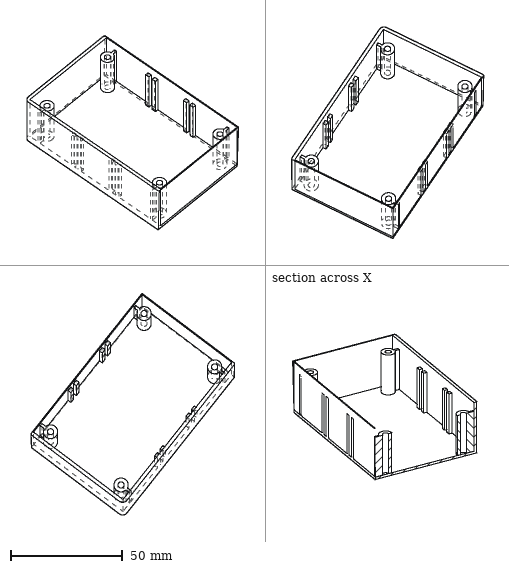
import cadquery as cq
import math

full_length = 83.0
full_width = 54.0
height = 26.11
corner_radius = 2.4
wall = 1.65
floor = 1.5

trimmed_length = 81.81
trimmed_width = 52.81
draft_angle = 1.0
draft_inset = height * math.tan(math.radians(draft_angle))

post_spacing_x = 68.6
post_spacing_y = 40.0
post_diameter = 6.4
screw_hole_diameter = 2.77
web_thickness = 1.25

rib_width = 2.0
rib_depth = 1.6
rib_gap = 2.0
rib_pair_spacing = 23.0

post_and_rib_top = 21.7

center_x = full_length / 2
center_y = full_width / 2
inner_length = full_length - 2 * wall
inner_width = full_width - 2 * wall
post_and_rib_height = post_and_rib_top - floor
rib_pitch = rib_width + rib_gap


def block(length, width, block_height, x, y, z):
    """A block centred on x and y that stands on height z."""
    return (
        cq.Workplane("XY", origin=(x, y, z))
        .rect(length, width)
        .extrude(block_height)
    )


def round_bar(diameter, x, y):
    """A round bar from the floor up to the top of the posts."""
    return (
        cq.Workplane("XY", origin=(x, y, floor))
        .circle(diameter / 2)
        .extrude(post_and_rib_height)
    )


def trimming_prism(plane, far_side, depth):
    """A prism that keeps everything up to a wall leaning inward toward the bottom."""
    return (
        cq.Workplane(plane)
        .moveTo(0, 0)
        .lineTo(far_side - draft_inset, 0)
        .lineTo(far_side, height)
        .lineTo(0, height)
        .close()
        .extrude(depth)
    )


def make_box():
    box = block(full_length, full_width, height, center_x, center_y, 0)
    box = box.edges("|Z").fillet(corner_radius)
    box = box.intersect(trimming_prism("XZ", trimmed_length, -full_width))
    box = box.intersect(trimming_prism("YZ", trimmed_width, full_length))
    box = box.cut(block(inner_length, inner_width, height, center_x, center_y, floor))
    rib_offset_y = (inner_width - rib_depth) / 2
    for wall_side in (-1, 1):
        for pair_side in (-1, 1):
            for rib_side in (-1, 1):
                x = center_x + pair_side * rib_pair_spacing / 2 + rib_side * rib_pitch / 2
                y = center_y + wall_side * rib_offset_y
                box = box.union(block(rib_width, rib_depth, post_and_rib_height, x, y, floor))
    return box


def make_post(side_x, side_y):
    """A tubular post on the floor with a web reaching to the nearest long wall."""
    x = center_x + side_x * post_spacing_x / 2
    y = center_y + side_y * post_spacing_y / 2
    web_length = (inner_width - post_spacing_y) / 2
    post = round_bar(post_diameter, x, y)
    web_y = y + side_y * web_length / 2
    post = post.union(block(web_thickness, web_length, post_and_rib_height, x, web_y, floor))
    return post.cut(round_bar(screw_hole_diameter, x, y))


box = make_box()
posts = [make_post(side_x, side_y) for side_x in (-1, 1) for side_y in (-1, 1)]

result = cq.Compound.makeCompound([box.val(), *[post.val() for post in posts]])